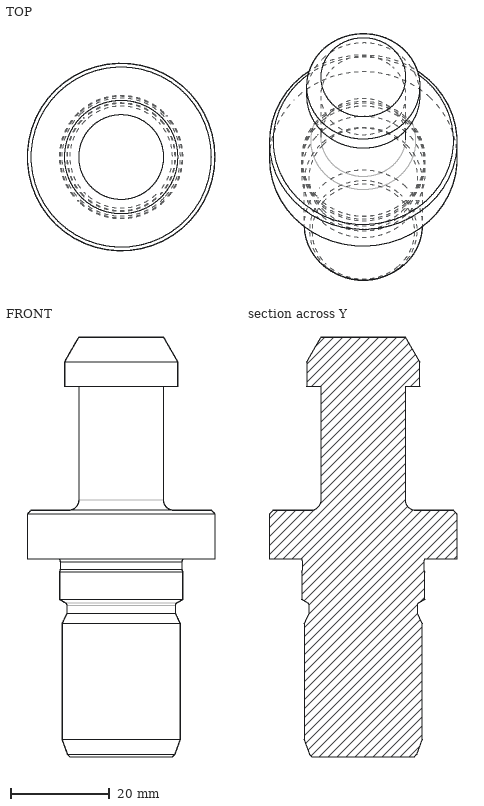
import cadquery as cq
import math

total_height = 85.0
tip_top = 3.6
shank_top = 27.0
relief_bottom = 29.1
pilot_bottom = 31.9
groove_bottom = 37.5
flange_bottom = 40.0
flange_top = 50.0
head_bottom = 75.0
head_cone_bottom = 80.0

shank_radius = 24.0 / 2
relief_radius = 22.0 / 2
pilot_radius = 25.0 / 2
flange_radius = 38.0 / 2
stem_radius = 17.2 / 2
head_radius = 22.95 / 2

tip_cone_angle = math.radians(20)
tip_chamfer = 0.5
flange_chamfer = 0.8
neck_fillet = 2.0
groove_depth = 0.2
groove_taper = 0.5
relief_cone_angle = math.radians(60)
relief_fillet = 0.6

tip_radius = shank_radius - (tip_top - tip_chamfer) * math.tan(tip_cone_angle)

fillet_center_radius = relief_radius + relief_fillet
cone_end_radius = fillet_center_radius - relief_fillet * math.cos(relief_cone_angle)
cone_end_height = pilot_bottom - (pilot_radius - cone_end_radius) / math.tan(relief_cone_angle)
relief_top = cone_end_height - relief_fillet * math.sin(relief_cone_angle)
fillet_middle = (
    fillet_center_radius - relief_fillet * math.cos(relief_cone_angle / 2),
    relief_top + relief_fillet * math.sin(relief_cone_angle / 2),
)

neck_center_radius = stem_radius + neck_fillet
neck_center_height = flange_top + neck_fillet
neck_middle = (
    neck_center_radius - neck_fillet * math.cos(math.pi / 4),
    neck_center_height - neck_fillet * math.sin(math.pi / 4),
)

groove_radius = pilot_radius - groove_depth

profile = (
    cq.Workplane("XZ")
    .lineTo(tip_radius - tip_chamfer, 0)
    .lineTo(tip_radius, tip_chamfer)
    .lineTo(shank_radius, tip_top)
    .lineTo(shank_radius, shank_top)
    .lineTo(relief_radius, relief_bottom)
    .lineTo(relief_radius, relief_top)
    .threePointArc(fillet_middle, (cone_end_radius, cone_end_height))
    .lineTo(pilot_radius, pilot_bottom)
    .lineTo(pilot_radius, groove_bottom)
    .lineTo(groove_radius, groove_bottom + groove_taper)
    .lineTo(groove_radius, flange_bottom - groove_taper)
    .lineTo(pilot_radius, flange_bottom)
    .lineTo(flange_radius, flange_bottom)
    .lineTo(flange_radius, flange_top - flange_chamfer)
    .lineTo(flange_radius - flange_chamfer, flange_top)
    .lineTo(neck_center_radius, flange_top)
    .threePointArc(neck_middle, (stem_radius, neck_center_height))
    .lineTo(stem_radius, head_bottom)
    .lineTo(head_radius, head_bottom)
    .lineTo(head_radius, head_cone_bottom)
    .lineTo(stem_radius, total_height)
    .lineTo(0, total_height)
    .close()
)

result = profile.revolve(360, (0, 0), (0, 1))